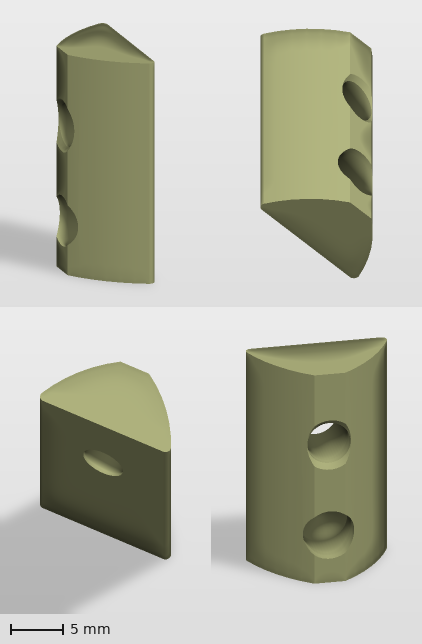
import cadquery as cq
import math

length = 22.0
width = 13.7
depth = 7.0
front_flat_width = 3.04
flank_radius = 14.5
corner_radius = 0.5
side_height = 0.65

through_diameter = 4.2
through_z = 14.5
countersink_diameter = 5.2
countersink_angle = 90.0

blind_diameter = 5.0
blind_z = 5.0
blind_depth = 4.0
drill_point_angle = 118.0


def cone_height(radius, included_angle):
    return radius / math.tan(math.radians(included_angle / 2))


def flank_midpoint(start, end):
    """Middle of the bulging arc between two points on the right-hand flank."""
    chord_x = end[0] - start[0]
    chord_y = end[1] - start[1]
    chord = math.hypot(chord_x, chord_y)
    bulge = flank_radius - math.sqrt(flank_radius**2 - (chord / 2) ** 2)
    middle_x = (start[0] + end[0]) / 2 - chord_y / chord * bulge
    middle_y = (start[1] + end[1]) / 2 + chord_x / chord * bulge
    return middle_x, middle_y


def mirrored(point):
    return -point[0], point[1]


def make_body():
    back = (width / 2, 0)
    flank_start = (width / 2, -side_height)
    flank_end = (front_flat_width / 2, -depth)
    flank_middle = flank_midpoint(flank_start, flank_end)
    body = (
        cq.Workplane("XY")
        .moveTo(*back)
        .lineTo(*flank_start)
        .threePointArc(flank_middle, flank_end)
        .lineTo(*mirrored(flank_end))
        .threePointArc(mirrored(flank_middle), mirrored(flank_start))
        .lineTo(*mirrored(back))
        .close()
        .extrude(length)
    )
    return body.faces(">Y").edges("|Z").fillet(corner_radius)


def revolved_cutter(half_profile, z):
    """Cutter turned about the Y direction at height z from (radius, y) points."""
    return (
        cq.Workplane("XY")
        .polyline(half_profile)
        .close()
        .revolve(360, (0, 0), (0, 1))
        .translate((0, 0, z))
    )


def through_cutter():
    radius = through_diameter / 2
    sink_radius = countersink_diameter / 2
    sink_depth = cone_height(sink_radius - radius, countersink_angle)
    profile = [
        (0, -depth),
        (sink_radius, -depth),
        (radius, -depth + sink_depth),
        (radius, 0),
        (0, 0),
    ]
    return revolved_cutter(profile, through_z)


def blind_cutter():
    radius = blind_diameter / 2
    bottom = -depth + blind_depth
    tip = bottom + cone_height(radius, drill_point_angle)
    profile = [(0, -depth), (radius, -depth), (radius, bottom), (0, tip)]
    return revolved_cutter(profile, blind_z)


result = make_body().cut(through_cutter()).cut(blind_cutter())